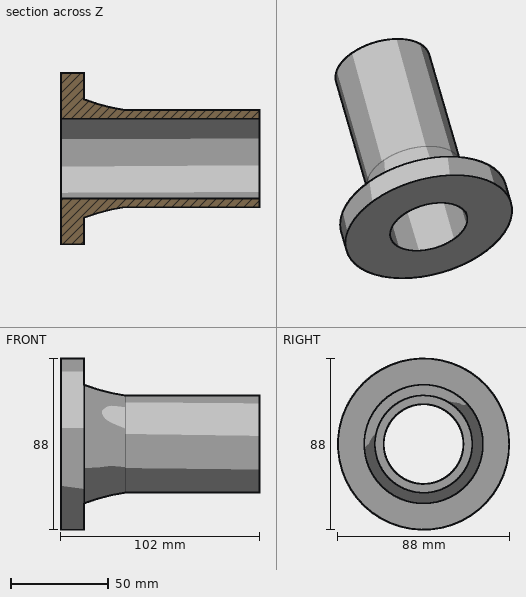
import cadquery as cq

total_length = 102.0
flange_diameter = 88.0
flange_thickness = 11.9
hub_length = 21.1
hub_diameter = 61.0
pipe_diameter = 50.0
bore_diameter = 40.8
hub_sag = 0.6

flange_radius = flange_diameter / 2
hub_radius = hub_diameter / 2
pipe_radius = pipe_diameter / 2
bore_radius = bore_diameter / 2
hub_end = flange_thickness + hub_length

profile = (
    cq.Workplane("XY")
    .moveTo(0, bore_radius)
    .lineTo(0, flange_radius)
    .lineTo(flange_thickness, flange_radius)
    .lineTo(flange_thickness, hub_radius)
    .sagittaArc((hub_end, pipe_radius), -hub_sag)
    .lineTo(total_length, pipe_radius)
    .lineTo(total_length, bore_radius)
    .close()
)
result = profile.revolve(360, (0, 0, 0), (1, 0, 0))